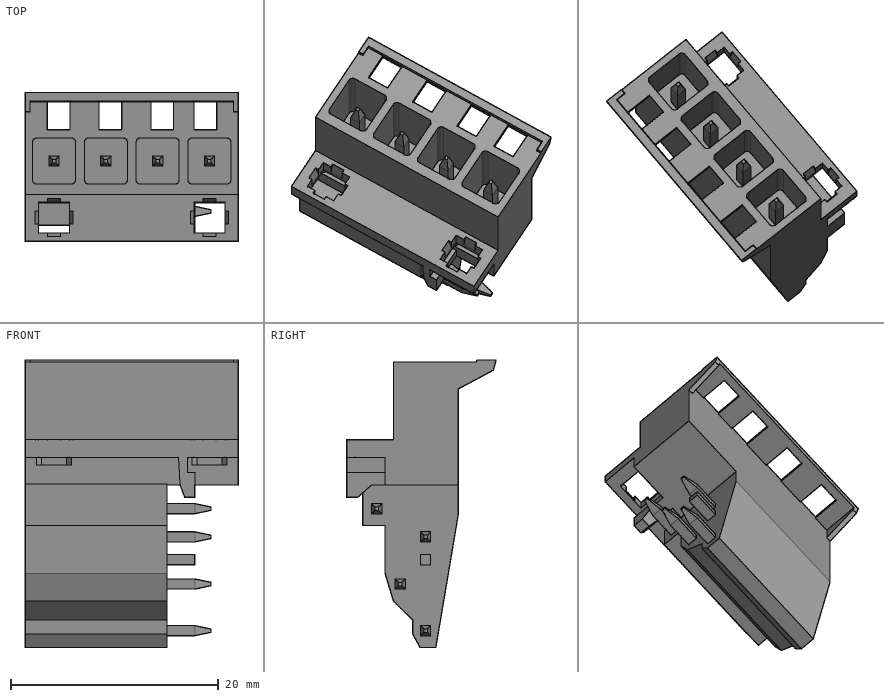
import cadquery as cq
import math


width = 20.6
depth = 14.37
height = 27.75
rim_height = 0.2
top_z = height - rim_height
head_front_y = 4.5
wall_y = 3.7
back_y = 10.77
back_corner_z = 24.95
ledge_top_z = 20.05
ledge_bottom_z = 18.35
block_top_z = 15.75
block_bottom_z = 11.77
block_front_y = 1.53

lower_width = 13.7
side_pin_straight = 2.66
step_z = 15.68

rim_base_y = 13.45
rim_slope_run = 0.08
rim_end_y = 12.45
rim_end_width = 0.5

overhang_thickness = 0.42
cheek_width = rim_end_width

pitch = 5.0
contact_count = 4
socket_x = 2.8
socket_y = 7.75
socket_width = 4.15
socket_depth_y = 4.45
socket_radius = 0.42
socket_floor_z = ledge_top_z
slot_width = 2.16
slot_back_y = rim_base_y
slot_lefts = [2.16, 7.15, 12.15, 16.32]

opening_size = 2.97
opening_front_y = 0.8
opening_y = opening_front_y + opening_size / 2
opening_centres_x = [socket_x, socket_x + (contact_count - 1) * pitch]
notch_width = 1.25
notch_run = 0.33
notch_angle = 15
notch_depth = notch_run / math.tan(math.radians(notch_angle))

recess_width = 3.39
recess_depth = 0.5
recess_bottom_z = 17.62

hook_left = 14.82
hook_right = lower_width + side_pin_straight
hook_tip_z = 14.49
hook_profile = [
    (hook_left, ledge_bottom_z),
    (hook_left, 18.12),
    (14.95, step_z),
    (15.4, hook_tip_z),
    (hook_right, hook_tip_z),
    (hook_right, 16.9),
    (15.65, 16.9),
    (15.65, ledge_bottom_z),
]

hook_tip_back_y = 1.05
hook_slope_top_y = 2.4

pin_size = 1.0
pin_tip_size = 0.33
pin_taper = 1.58
side_pin_places = [(2.89, 13.4), (7.6, 10.68), (5.15, 6.13), (7.6, 1.65)]
peg_y = 7.6
peg_z = 8.5
socket_pin_tip_z = 26.53


def extrude_x(points, x_start, length):
    """Solid with the (Y, Z) outline, running along +X from x_start."""
    return cq.Workplane("YZ", origin=(x_start, 0, 0)).polyline(points).close().extrude(length)


def box(x0, x1, y0, y1, z0, z1):
    """Box between two opposite corners."""
    return cq.Workplane("XY").box(x1 - x0, y1 - y0, z1 - z0, centered=False).translate((x0, y0, z0))


def make_body():
    """Full cross-section along X, with the lower right part left off."""
    outline = [
        (8.6, 0),
        (7.08, 0),
        (6.35, 1.3),
        (6.35, 2.66),
        (head_front_y, 4.5),
        (wall_y, 7.15),
        (wall_y, block_bottom_z),
        (block_front_y, block_bottom_z),
        (block_front_y, block_top_z),
        (wall_y, block_top_z),
        (wall_y, ledge_bottom_z),
        (0, ledge_bottom_z),
        (0, ledge_top_z),
        (head_front_y, ledge_top_z),
        (head_front_y, top_z),
        (depth, top_z),
        (14.15, 26.75),
        (back_y, back_corner_z),
        (back_y, 12.82),
    ]
    body = extrude_x(outline, 0, width)
    body = body.cut(box(lower_width, width, 0, depth, 0, step_z))
    return body.cut(box(lower_width, width, 0, wall_y, step_z, ledge_bottom_z))


def make_rim():
    """Raised rim along the back of the top face, with a short return at each end."""
    def rim_strip(start_y, x_start, length):
        outline = [
            (start_y, top_z),
            (depth, top_z),
            (depth, height),
            (start_y + rim_slope_run, height),
        ]
        return extrude_x(outline, x_start, length)

    rim = rim_strip(rim_base_y, 0, width)
    rim = rim.union(rim_strip(rim_end_y, 0, rim_end_width))
    return rim.union(rim_strip(rim_end_y, width - rim_end_width, rim_end_width))


def make_overhang_relief():
    """Space below the overhang, between the two end cheeks."""
    relief_top_z = top_z - overhang_thickness
    return box(cheek_width, width - cheek_width, back_y, depth, back_corner_z, relief_top_z)


def make_socket(x):
    """Rounded square cavity for one contact."""
    return (
        cq.Workplane("XY", origin=(x, socket_y, socket_floor_z))
        .rect(socket_width, socket_depth_y)
        .extrude(height - socket_floor_z)
        .edges("|Z")
        .fillet(socket_radius)
    )


def make_slot(left):
    """Rectangular slot through the overhang behind the back wall."""
    return box(left, left + slot_width, back_y, slot_back_y, back_corner_z, height)


def make_opening(x):
    """Square opening through the ledge with a sloping lead-in on each side."""
    half = opening_size / 2
    opening = box(x - half, x + half, opening_y - half, opening_y + half, ledge_bottom_z, ledge_top_z)
    lead_in_profile = [
        (0, ledge_top_z),
        (half + notch_run, ledge_top_z),
        (half, ledge_top_z - notch_depth),
        (0, ledge_top_z - notch_depth),
    ]
    lead_in = extrude_x(lead_in_profile, -notch_width / 2, notch_width)
    for quarter in range(4):
        turned = lead_in.rotate((0, 0, 0), (0, 0, 1), 90 * quarter)
        opening = opening.union(turned.translate((x, opening_y, 0)))
    return opening


def make_recess(x):
    """Shallow recess with 45-degree sides in the wall below an opening."""
    half = recess_width / 2
    return (
        cq.Workplane("XY", origin=(x, wall_y, recess_bottom_z))
        .moveTo(-half, 0)
        .lineTo(half, 0)
        .lineTo(half - recess_depth, recess_depth)
        .lineTo(-half + recess_depth, recess_depth)
        .close()
        .extrude(ledge_bottom_z - recess_bottom_z)
    )


def make_hook():
    """Hook hanging from the ledge, with its back edge sloping down to the tip."""
    hook = cq.Workplane("XZ").polyline(hook_profile).close().extrude(-wall_y)
    side_outline = [
        (0, hook_tip_z),
        (hook_tip_back_y, hook_tip_z),
        (hook_slope_top_y, step_z),
        (wall_y, step_z),
        (wall_y, ledge_bottom_z),
        (0, ledge_bottom_z),
    ]
    return hook.intersect(extrude_x(side_outline, 0, width))


def make_peg():
    """Plain square peg on the right face of the lower part."""
    half = pin_size / 2
    peg_end = lower_width + side_pin_straight
    return box(lower_width, peg_end, peg_y - half, peg_y + half, peg_z - half, peg_z + half)


def make_housing():
    housing = make_body().union(make_rim()).union(make_hook()).union(make_peg())
    for index in range(contact_count):
        housing = housing.cut(make_socket(socket_x + index * pitch))
    housing = housing.cut(make_overhang_relief())
    for left in slot_lefts:
        housing = housing.cut(make_slot(left))
    for x in opening_centres_x:
        housing = housing.cut(make_opening(x)).cut(make_recess(x))
    return housing


def make_pin(straight_length):
    """Square pin standing on the origin along +Z, with a tapered tip."""
    shank = cq.Workplane("XY").rect(pin_size, pin_size).extrude(straight_length)
    tip = (
        cq.Workplane("XY", origin=(0, 0, straight_length))
        .rect(pin_size, pin_size)
        .workplane(offset=pin_taper)
        .rect(pin_tip_size, pin_tip_size)
        .loft(ruled=True)
    )
    return shank.union(tip)


housing = make_housing()

socket_pins = []
for index in range(contact_count):
    pin = make_pin(socket_pin_tip_z - pin_taper - socket_floor_z)
    socket_pins.append(pin.translate((socket_x + index * pitch, socket_y, socket_floor_z)))

side_pins = []
for y, z in side_pin_places:
    pin = make_pin(side_pin_straight).rotate((0, 0, 0), (0, 1, 0), 90)
    side_pins.append(pin.translate((lower_width, y, z)))

result = cq.Compound.makeCompound(
    [housing.val()] + [pin.val() for pin in socket_pins + side_pins]
)